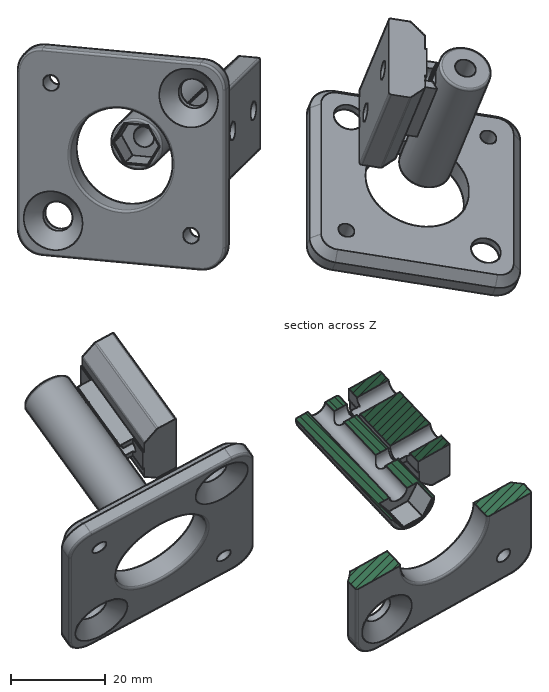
import cadquery as cq
import math

TOTAL_DEPTH = 46.0
EDGE_RADIUS = 0.5

PLATE_SIDE = 46.0
PLATE_THICKNESS = 5.0
PLATE_CORNER_RADIUS = 5.5
PLATE_BACK_CHAMFER = 2.0
WINDOW_DIAMETER = 22.6
SCREW_OFFSET = 15.0
SCREW_HOLE_DIAMETER = 6.5
COUNTERSINK_DIAMETER = 13.0
SMALL_HOLE_OFFSET = 15.5
SMALL_HOLE_DIAMETER = 3.5

PIN_DIAMETER = 11.3
PIN_LENGTH = 35.0
PIN_BORE_DIAMETER = 4.5
SOCKET_FLATS = 8.6
SOCKET_CHAMFER = 0.28
SOCKET_CHAMFER_DEPTH = 0.25
SOCKET_DEPTH = 5.5

KEY_LENGTH = 25.0
KEY_HEIGHT = 20.42
KEY_LEFT_X = 8.8
KEY_RIGHT_X = 16.75
KEY_CHAMFER = 3.2
PAD_X = 8.4
WEB_HEIGHT = 7.1
WEB_INSET = 4.0
WEB_CLEARANCE = 0.6

KEY_HOLE_DIAMETER = 4.0
PIN_HOLE_DIAMETER = 3.5
CROSS_HOLE_INSET = 1.0

PIN_FRONT_Y = TOTAL_DEPTH - PIN_LENGTH
KEY_FRONT_Y = TOTAL_DEPTH - KEY_LENGTH
WEB_FRONT_Y = KEY_FRONT_Y + WEB_INSET
WEB_BACK_Y = TOTAL_DEPTH - WEB_INSET
CROSS_HOLE_YS = [WEB_FRONT_Y + CROSS_HOLE_INSET, WEB_BACK_Y - CROSS_HOLE_INSET]


def facing_front(y):
    """Workplane at depth y whose normal is -Y, with X to the right and Z up."""
    return cq.Workplane("XZ", origin=(0, y, 0))


def cylinder_along_y(diameter, front_y, back_y):
    return facing_front(back_y).circle(diameter / 2).extrude(back_y - front_y)


def cross_hole(diameter, y, start_x, end_x):
    return cq.Workplane("YZ", origin=(start_x, y, 0)).circle(diameter / 2).extrude(end_x - start_x)


def countersunk_hole(plate, x, z, hole_diameter, mouth_diameter):
    """Cut a through hole with a 90 degree countersink in the plate's front face."""
    cone_depth = (mouth_diameter - hole_diameter) / 2
    cone = cq.Solid.makeCone(
        mouth_diameter / 2, hole_diameter / 2, cone_depth, pnt=cq.Vector(x, 0, z), dir=cq.Vector(0, 1, 0)
    )
    hole = cylinder_along_y(hole_diameter, 0, PLATE_THICKNESS).translate((x, 0, z))
    return plate.cut(hole).cut(cq.Workplane(cone))


def make_plate():
    plate = facing_front(PLATE_THICKNESS).rect(PLATE_SIDE, PLATE_SIDE).extrude(PLATE_THICKNESS)
    plate = plate.edges("|Y").fillet(PLATE_CORNER_RADIUS)
    plate = plate.faces(">Y").chamfer(PLATE_BACK_CHAMFER)
    plate = plate.cut(cylinder_along_y(WINDOW_DIAMETER, 0, PLATE_THICKNESS))
    plate = plate.faces("<Y").edges().fillet(EDGE_RADIUS)

    for side in (1, -1):
        screw_place = side * SCREW_OFFSET
        plate = countersunk_hole(plate, screw_place, screw_place, SCREW_HOLE_DIAMETER, COUNTERSINK_DIAMETER)
        small_hole_place = side * SMALL_HOLE_OFFSET
        small_hole = cylinder_along_y(SMALL_HOLE_DIAMETER, 0, PLATE_THICKNESS)
        plate = plate.cut(small_hole.translate((-small_hole_place, 0, small_hole_place)))
    return plate


def hexagon_socket():
    """Hexagonal recess in the front end of the pin, with a chamfered mouth."""
    corner_diameter = SOCKET_FLATS / math.cos(math.pi / 6)
    floor_y = PIN_FRONT_Y + SOCKET_DEPTH
    recess = facing_front(floor_y).polygon(6, corner_diameter).extrude(SOCKET_DEPTH)
    mouth_diameter = (SOCKET_FLATS + 2 * SOCKET_CHAMFER) / math.cos(math.pi / 6)
    mouth = (
        facing_front(PIN_FRONT_Y + SOCKET_CHAMFER_DEPTH)
        .polygon(6, corner_diameter)
        .workplane(offset=SOCKET_CHAMFER_DEPTH)
        .polygon(6, mouth_diameter)
        .loft(ruled=True)
    )
    return recess.union(mouth)


def make_pin():
    pin = cylinder_along_y(PIN_DIAMETER, PIN_FRONT_Y, TOTAL_DEPTH)
    pin = pin.faces("<Y or >Y").edges().fillet(EDGE_RADIUS)
    pin = pin.cut(cylinder_along_y(PIN_BORE_DIAMETER, PIN_FRONT_Y, TOTAL_DEPTH))
    pin = pin.cut(hexagon_socket())

    for y in CROSS_HOLE_YS:
        pin = pin.cut(cross_hole(PIN_HOLE_DIAMETER, y, 0, PIN_DIAMETER))
    return pin


def box_centred_on_z(start_x, end_x, start_y, end_y, height):
    """Box centred on Z = 0 between the given X and Y limits."""
    box = cq.Workplane("XY").box(end_x - start_x, end_y - start_y, height, centered=(False, False, True))
    return box.translate((start_x, start_y, 0))


def make_key():
    block = box_centred_on_z(KEY_LEFT_X, KEY_RIGHT_X, KEY_FRONT_Y, TOTAL_DEPTH, KEY_HEIGHT)
    block = block.faces("<X").edges("|Y").chamfer(KEY_CHAMFER)
    block = block.edges("|Y").fillet(EDGE_RADIUS)

    pad = box_centred_on_z(PAD_X, KEY_LEFT_X, KEY_FRONT_Y, TOTAL_DEPTH, WEB_HEIGHT)

    web = box_centred_on_z(0, PAD_X, WEB_FRONT_Y, WEB_BACK_Y, WEB_HEIGHT)
    clearance_diameter = PIN_DIAMETER + 2 * WEB_CLEARANCE
    web = web.cut(cylinder_along_y(clearance_diameter, PIN_FRONT_Y, TOTAL_DEPTH))

    key = block.union(pad).union(web)
    for y in CROSS_HOLE_YS:
        key = key.cut(cross_hole(KEY_HOLE_DIAMETER, y, 0, KEY_RIGHT_X))
    return key


plate = make_plate()
pin = make_pin()
key = make_key()
result = cq.Compound.makeCompound([plate.val(), pin.val(), key.val()])